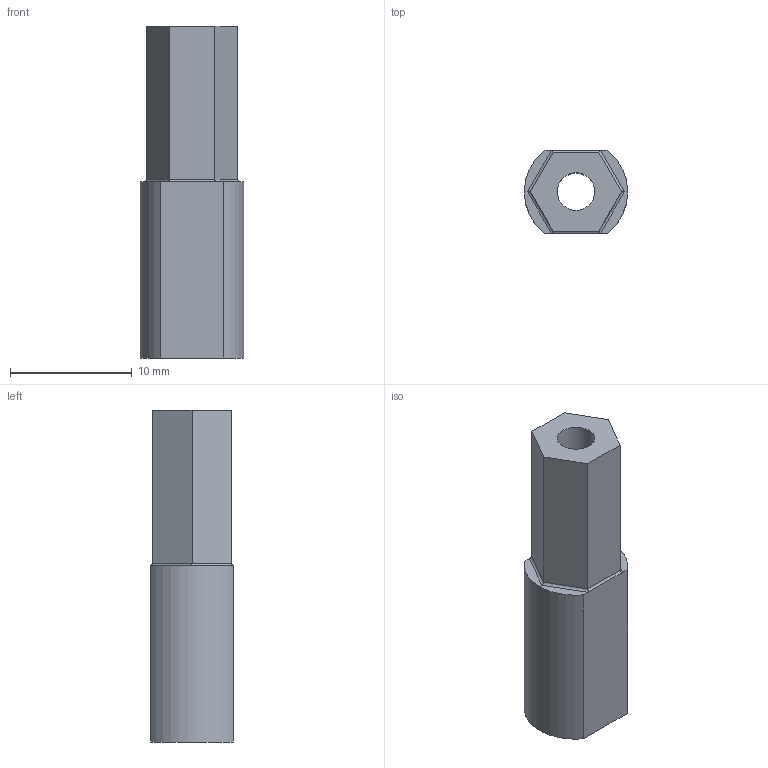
import cadquery as cq
import math

HEX_SIDES = 6
SIDE_ANGLE = 360 / HEX_SIDES

total_height = 27.3
body_height = 14.5
body_diameter = 8.5
body_across_flats = 6.8
hex_across_flats = 6.5
bore_diameter = 3.1
fillet_radius = 0.2


def hex_corner_diameter(across_flats):
    """Distance across the corners of a hexagon with the given width across flats."""
    return across_flats / math.cos(math.pi / HEX_SIDES)


def hex_prism(across_flats, base_z, height):
    """Hexagonal prism with corners on the X axis and two sides facing +Y and -Y."""
    return (
        cq.Workplane("XY")
        .workplane(offset=base_z)
        .polygon(HEX_SIDES, hex_corner_diameter(across_flats))
        .extrude(height)
    )


def round_body():
    """Lower body before its flats are cut."""
    return cq.Workplane("XY").circle(body_diameter / 2).extrude(body_height)


def root_fillet():
    """Hexagonal collar with concave sides that blends the hexagon into the top of the body."""
    collar_across_flats = hex_across_flats + 2 * fillet_radius
    collar = hex_prism(collar_across_flats, body_height, fillet_radius)
    for side in range(HEX_SIDES):
        hollow = (
            cq.Workplane("YZ")
            .center(collar_across_flats / 2, body_height + fillet_radius)
            .circle(fillet_radius)
            .extrude(collar_across_flats, both=True)
            .rotate((0, 0, 0), (0, 0, 1), side * SIDE_ANGLE)
        )
        collar = collar.cut(hollow)
    return collar


def flats_envelope():
    """Slab between the +Y and -Y flats; it also trims the fillet where it overhangs them."""
    return cq.Workplane("XY").rect(body_diameter, body_across_flats).extrude(total_height)


def bore():
    """Round hole through the full height."""
    return cq.Workplane("XY").circle(bore_diameter / 2).extrude(total_height)


hex_shank = hex_prism(hex_across_flats, body_height, total_height - body_height)
result = round_body().union(root_fillet()).union(hex_shank)
result = result.intersect(flats_envelope()).cut(bore())